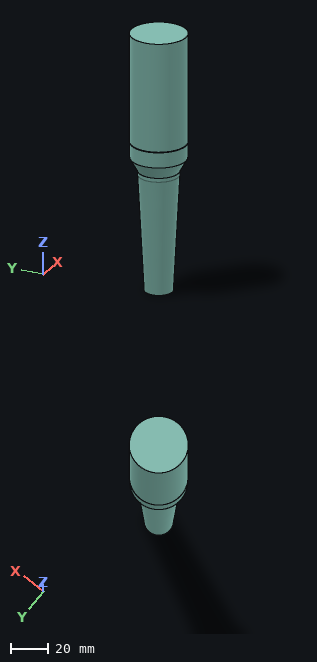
import cadquery as cq

total_length = 150.0
body_diameter = 32.0
collar_diameter = 31.6
neck_diameter = 23.1
tip_diameter = 16.0

body_bottom = 87.0
collar_top = 86.5
collar_bottom = 77.7
neck_top = 69.9
neck_bottom = 67.6

outline = [
    (0, 0),
    (tip_diameter / 2, 0),
    (neck_diameter / 2, neck_bottom),
    (neck_diameter / 2, neck_top),
    (collar_diameter / 2, collar_bottom),
    (collar_diameter / 2, collar_top),
    (body_diameter / 2, body_bottom),
    (body_diameter / 2, total_length),
    (0, total_length),
]

result = cq.Workplane("XZ").polyline(outline).close().revolve(360, (0, 0, 0), (0, 1, 0))